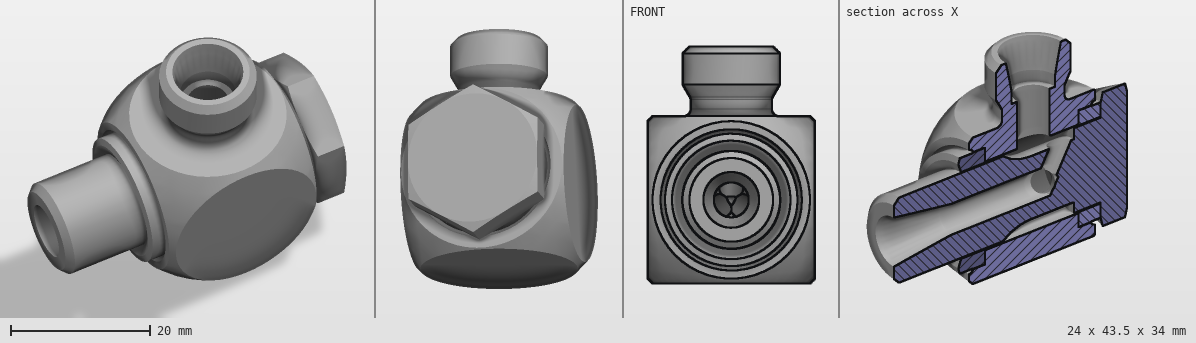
import cadquery as cq
import math


half_width = 12.0
housing_front_y = -half_width
housing_back_y = 11.5
rounding_sphere_radius = 16.5
housing_bore_diameter = 14.4

port_top_z = 22.0
port_thread_diameter = 14.0
port_thread_bottom_z = 16.57
port_neck_diameter = 11.7
port_cone_angle = 30
port_neck_fillet = 0.8
port_root_fillet = 1.0
end_chamfer = 1.0
port_mouth_diameter = 10.2
tube_diameter = 8.0
port_taper_angle = 12
tube_stop_z = port_top_z - 7.0
port_bore_diameter = 6.0

ring_diameter = 19.0
ring_bore_diameter = 14.1
ring_seat_depth = 3.0
seat_mouth_diameter = 20.25
seat_mouth_depth = 0.75
seat_mouth_fillet = 0.7
front_ring_tip_y = -14.0
ring_ridge_diameter = 17.0
ring_bevel_length = 0.25
ring_inner_cone_angle = 70

stud_diameter = 14.0
stud_tip_y = -26.0
head_back_y = 17.5
head_thickness = 5.0
head_width = ring_diameter
head_chamfer_angle = 15
waist_diameter = 10.4
waist_front_y = -0.6
waist_back_y = 7.5
waist_blend_radius = 8.0
bolt_bore_diameter = 5.0
bolt_taper_angle = 8
drill_half_angle = 59
cross_hole_diameter = 3.5
cross_hole_count = 3
cross_hole_tilt = 30
cross_hole_axis_y = 2.0
bore_past_cross_hole = 1.1

head_front_y = head_back_y - head_thickness


def tangent(degrees):
    return math.tan(math.radians(degrees))


def revolve_about_y(points):
    """Solid of revolution about Y from (radius, y) points."""
    return cq.Workplane("XY").polyline(points).close().revolve(360, (0, 0), (0, 1))


def cylinder_along_y(diameter, start_y, end_y):
    radius = diameter / 2
    return revolve_about_y([(0, start_y), (radius, start_y), (radius, end_y), (0, end_y)])


def make_block():
    width = 2 * half_width
    depth = housing_back_y - housing_front_y
    block = cq.Workplane("XY").box(width, depth, width)
    block = block.translate((0, (housing_front_y + housing_back_y) / 2, 0))
    return block.intersect(cq.Workplane("XY").sphere(rounding_sphere_radius))


def make_port():
    thread_radius = port_thread_diameter / 2
    neck_radius = port_neck_diameter / 2
    neck_top_z = port_thread_bottom_z - (thread_radius - neck_radius) / tangent(port_cone_angle)
    blend_length = port_neck_fillet * tangent(port_cone_angle / 2)
    cone_angle = math.radians(port_cone_angle)
    blend_start = (neck_radius, neck_top_z - blend_length)
    blend_end = (
        neck_radius + blend_length * math.sin(cone_angle),
        neck_top_z + blend_length * math.cos(cone_angle),
    )
    half_angle = cone_angle / 2
    blend_middle = (
        neck_radius + port_neck_fillet * (1 - math.cos(half_angle)),
        blend_start[1] + port_neck_fillet * math.sin(half_angle),
    )
    root_middle = port_root_fillet * (1 - math.sqrt(0.5))
    profile = (
        cq.Workplane("XZ")
        .moveTo(0, 0)
        .lineTo(neck_radius + port_root_fillet, 0)
        .lineTo(neck_radius + port_root_fillet, half_width)
        .threePointArc(
            (neck_radius + root_middle, half_width + root_middle),
            (neck_radius, half_width + port_root_fillet),
        )
        .lineTo(*blend_start)
        .threePointArc(blend_middle, blend_end)
        .lineTo(thread_radius, port_thread_bottom_z)
        .lineTo(thread_radius, port_top_z - end_chamfer)
        .lineTo(thread_radius - end_chamfer, port_top_z)
        .lineTo(0, port_top_z)
        .close()
    )
    return profile.revolve(360, (0, 0), (0, 1))


def make_port_bore():
    mouth_radius = port_mouth_diameter / 2
    tube_radius = tube_diameter / 2
    bore_radius = port_bore_diameter / 2
    taper_end_z = port_top_z - (mouth_radius - tube_radius) / tangent(port_taper_angle)
    points = [
        (0, 0),
        (bore_radius, 0),
        (bore_radius, tube_stop_z),
        (tube_radius, tube_stop_z),
        (tube_radius, taper_end_z),
        (mouth_radius, port_top_z),
        (0, port_top_z),
    ]
    return cq.Workplane("XZ").polyline(points).close().revolve(360, (0, 0), (0, 1))


def make_ring_seat(face_y, inward):
    """Counterbore for a ring, widened at its mouth; inward is the Y direction into the housing."""
    mouth = cylinder_along_y(seat_mouth_diameter, face_y, face_y + inward * seat_mouth_depth)
    mouth = mouth.edges(">Y" if inward > 0 else "<Y").fillet(seat_mouth_fillet)
    return mouth.union(cylinder_along_y(ring_diameter, face_y, face_y + inward * ring_seat_depth))


def make_housing():
    return (
        make_block()
        .union(make_port())
        .cut(make_port_bore())
        .cut(cylinder_along_y(housing_bore_diameter, housing_front_y, housing_back_y))
        .cut(make_ring_seat(housing_front_y, 1))
        .cut(make_ring_seat(housing_back_y, -1))
    )


def make_front_ring():
    outer_radius = ring_diameter / 2
    ridge_radius = ring_ridge_diameter / 2
    bore_radius = ring_bore_diameter / 2
    base_y = housing_front_y + ring_seat_depth
    cone_end_y = front_ring_tip_y + (ridge_radius - bore_radius) / tangent(ring_inner_cone_angle)
    return revolve_about_y([
        (bore_radius, base_y),
        (outer_radius, base_y),
        (outer_radius, front_ring_tip_y + ring_bevel_length),
        (ridge_radius, front_ring_tip_y),
        (bore_radius, cone_end_y),
    ])


def make_back_ring():
    base_y = housing_back_y - ring_seat_depth
    ring = cylinder_along_y(ring_diameter, base_y, head_front_y)
    return ring.cut(cylinder_along_y(ring_bore_diameter, base_y, head_front_y))


def make_bolt_head():
    """Hexagon with corners at +Z and -Z, both ends turned to a shallow cone."""
    corner_diameter = head_width / math.cos(math.radians(30))
    hexagon = (
        cq.Workplane("XZ", origin=(0, head_back_y, 0))
        .transformed(rotate=(0, 0, 90))
        .polygon(6, corner_diameter)
        .extrude(head_thickness)
    )
    face_radius = head_width / 2
    corner_radius = corner_diameter / 2
    chamfer_length = (corner_radius - face_radius) * tangent(head_chamfer_angle)
    turned = revolve_about_y([
        (0, head_front_y),
        (face_radius, head_front_y),
        (corner_radius, head_front_y + chamfer_length),
        (corner_radius, head_back_y - chamfer_length),
        (face_radius, head_back_y),
        (0, head_back_y),
    ])
    return hexagon.intersect(turned)


def make_bolt_shank():
    """Stud and seat of one diameter, with a waist that runs into the stud in a large concave arc."""
    stud_radius = stud_diameter / 2
    waist_radius = waist_diameter / 2
    blend_angle = math.acos(1 - (stud_radius - waist_radius) / waist_blend_radius)

    def blend_point(angle):
        return (
            waist_radius + waist_blend_radius * (1 - math.cos(angle)),
            waist_front_y - waist_blend_radius * math.sin(angle),
        )

    profile = (
        cq.Workplane("XY")
        .moveTo(0, stud_tip_y)
        .lineTo(stud_radius - end_chamfer, stud_tip_y)
        .lineTo(stud_radius, stud_tip_y + end_chamfer)
        .lineTo(*blend_point(blend_angle))
        .threePointArc(blend_point(blend_angle / 2), (waist_radius, waist_front_y))
        .lineTo(waist_radius, waist_back_y)
        .lineTo(stud_radius, waist_back_y)
        .lineTo(stud_radius, head_front_y)
        .lineTo(0, head_front_y)
        .close()
    )
    return profile.revolve(360, (0, 0), (0, 1))


def make_bolt_bore():
    """Blind bore with a tapered mouth and a drill cone at its end."""
    mouth_radius = tube_diameter / 2
    bore_radius = bolt_bore_diameter / 2
    taper_length = (mouth_radius - bore_radius) / tangent(bolt_taper_angle)
    bore_end_y = cross_hole_axis_y + bore_past_cross_hole
    return revolve_about_y([
        (0, stud_tip_y),
        (mouth_radius, stud_tip_y),
        (bore_radius, stud_tip_y + taper_length),
        (bore_radius, bore_end_y),
        (0, bore_end_y + bore_radius / tangent(drill_half_angle)),
    ])


def make_cross_hole():
    """Hole from the bolt axis out through the waist, leaning towards the head."""
    radius = cross_hole_diameter / 2
    tilt = math.radians(cross_hole_tilt)
    length = waist_diameter / 2 / math.cos(tilt) + radius * math.tan(tilt)
    hole = cq.Workplane("XY").circle(radius).extrude(length)
    return hole.rotate((0, 0, 0), (1, 0, 0), -cross_hole_tilt).translate((0, cross_hole_axis_y, 0))


def make_bolt():
    bolt = make_bolt_shank().union(make_bolt_head()).cut(make_bolt_bore())
    cross_hole = make_cross_hole()
    for index in range(cross_hole_count):
        angle = 360 / cross_hole_count * index
        bolt = bolt.cut(cross_hole.rotate((0, 0, 0), (0, 1, 0), angle))
    return bolt


housing = make_housing()
bolt = make_bolt()
front_ring = make_front_ring()
back_ring = make_back_ring()

result = cq.Compound.makeCompound([housing.val(), bolt.val(), front_ring.val(), back_ring.val()])